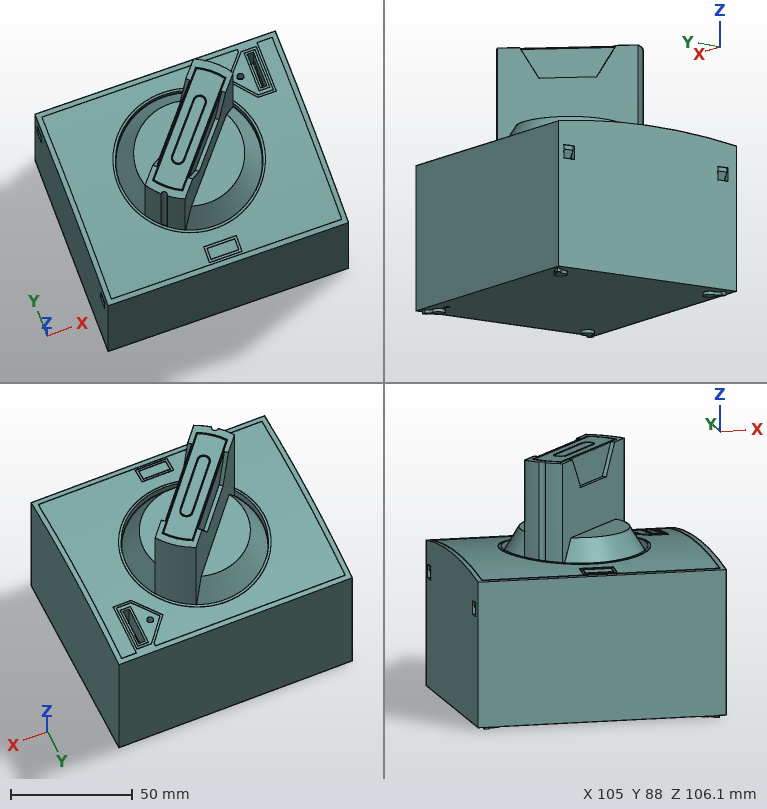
import cadquery as cq
import math

LENGTH_X = 105.0
WIDTH_Y = 88.0
EDGE_HEIGHT = 61.0
CROWN_HEIGHT = 64.4
FOOT_HEIGHT = 1.4
TOTAL_HEIGHT = 106.1
ABOVE_ALL = TOTAL_HEIGHT

RIM_WIDTH = 2.2
PANEL_DEPTH = 0.2

WINDOW_Y = -37.3
WINDOW_FRAME_X = 14.2
WINDOW_FRAME_Y = 6.9
WINDOW_FRAME_WALL = 1.1
WINDOW_FRAME_RISE = 0.3

PAD_TIP_X = 27.7
PAD_SHOULDER_X = 36.2
PAD_RIGHT_X = 42.8
PAD_Y = 29.9
PAD_HALF_WIDTH = 10.3
PAD_BORDER = 1.0
PAD_TAB_LEFT_X = 35.1
PILOT_X = 32.1
PILOT_RADIUS = 1.4
PILOT_DEPTH = 5.3
SLOT_X = 39.5
SLOT_WIDTH = 2.8
SLOT_FRONT_Y = 22.2
SLOT_BACK_Y = 38.2
SLOT_BOTTOM_Z = 53.0
SLOT_FRAME_WALL = 1.0
SLOT_LEDGE = 0.5
SLOT_CHANNEL_DEPTH = 2.1
SLOT_THROUGH_LENGTH = 1.3

LATCH_YS = (38.8, -37.2)
LATCH_WIDTH = 5.1
LATCH_TOP_Z = 51.4
LATCH_BOTTOM_Z = 45.7
LATCH_DEPTH = 2.1
TOOTH_SIDE_GAP = 0.3
TOOTH_SETBACK = 0.4
TOOTH_BEND_Z = 49.5
TOOTH_BOTTOM_Z = 46.3

FOOT_SIZE = 7.5
FOOT_TOE = 1.8
FOOT_RADIUS = 2.8
FEET_CENTRE_X = 0.6
FEET_CENTRE_Y = 0.6
FEET_SPAN_X = 99.3
FEET_SPAN_Y = 83.3

KNOB_Y = 3.1
KNOB_ANGLE = 50.0
KNOB_RADIUS = 30.2
RING_RADIUS = 31.3
KNOB_BOTTOM_Z = 58.4
CONE_BOTTOM_Z = 60.2
CONE_TOP_Z = 72.3
CONE_BOTTOM_RADIUS = 30.0
CONE_TOP_RADIUS = 22.8
KNOB_TOP_Z = TOTAL_HEIGHT - FOOT_HEIGHT
GRIP_WIDTH = 17.4
GROOVE_RADIUS = 1.4
SCOOP_TOP_LENGTH = 39.7
SCOOP_BOTTOM_LENGTH = 23.8
SCOOP_BOTTOM_Z = 91.7
SCOOP_DEPTH = 1.7
INLAY_WIDTH = 13.2
INLAY_RADIUS = 26.7
POINTER_CENTRE_X = -0.3
POINTER_LENGTH = 31.3
POINTER_WIDTH = 5.5
ENGRAVING_WIDTH = 0.4
ENGRAVING_DEPTH = 0.4


def box(x_range, y_range, z_range):
    """Box between two limits along each axis."""
    sizes = [high - low for low, high in (x_range, y_range, z_range)]
    corner = (x_range[0], y_range[0], z_range[0])
    return cq.Workplane("XY").box(*sizes, centered=False).translate(corner)


def below_crown(rise=0.0):
    """Everything over the footprint that lies under the crowned top, moved up by `rise`."""
    half_width = WIDTH_Y / 2
    return (
        cq.Workplane("YZ")
        .moveTo(-half_width, 0)
        .lineTo(half_width, 0)
        .lineTo(half_width, EDGE_HEIGHT + rise)
        .threePointArc((0, CROWN_HEIGHT + rise), (-half_width, EDGE_HEIGHT + rise))
        .close()
        .extrude(LENGTH_X / 2, both=True)
    )


def pad_prism(border):
    """Arrow-shaped prism of the lock pad, grown outward by `border`."""
    slope = PAD_HALF_WIDTH / (PAD_SHOULDER_X - PAD_TIP_X)
    tip_x = PAD_TIP_X - border * math.hypot(1, slope) / slope
    half_width = PAD_HALF_WIDTH + border
    shoulder_x = tip_x + half_width / slope
    right_x = PAD_RIGHT_X + border
    outline = [
        (tip_x, PAD_Y),
        (shoulder_x, PAD_Y - half_width),
        (right_x, PAD_Y - half_width),
        (right_x, PAD_Y + half_width),
        (shoulder_x, PAD_Y + half_width),
    ]
    return cq.Workplane("XY").polyline(outline).close().extrude(ABOVE_ALL)


def slot_prism(margin):
    """Upright prism of the lock slot, grown outward by `margin`."""
    half_width = SLOT_WIDTH / 2 + margin
    return box(
        (SLOT_X - half_width, SLOT_X + half_width),
        (SLOT_FRONT_Y - margin, SLOT_BACK_Y + margin),
        (0, ABOVE_ALL),
    )


def cut_top_panel(housing):
    """Sink the top, leaving the rim, the ring around the knob and the lock pad at full height."""
    panel_x = LENGTH_X / 2 - RIM_WIDTH
    panel_y = WIDTH_Y / 2 - RIM_WIDTH
    tab = box(
        (PAD_TAB_LEFT_X, PAD_RIGHT_X + PAD_BORDER),
        (PAD_Y, WIDTH_Y / 2),
        (0, ABOVE_ALL),
    )
    ring = cq.Workplane("XY").center(0, KNOB_Y).circle(RING_RADIUS).extrude(ABOVE_ALL)
    panel = (
        box((-panel_x, panel_x), (-panel_y, panel_y), (0, ABOVE_ALL))
        .cut(ring)
        .cut(pad_prism(PAD_BORDER))
        .cut(tab)
    )
    pad_floor = pad_prism(0).cut(slot_prism(SLOT_FRAME_WALL))
    sunk = below_crown(-PANEL_DEPTH)
    return housing.cut(panel.cut(sunk)).cut(pad_floor.cut(sunk))


def add_label_window(housing):
    """Raised rectangular frame around the label window."""
    frame = (
        cq.Workplane("XY")
        .center(0, WINDOW_Y)
        .rect(WINDOW_FRAME_X, WINDOW_FRAME_Y)
        .rect(WINDOW_FRAME_X - 2 * WINDOW_FRAME_WALL, WINDOW_FRAME_Y - 2 * WINDOW_FRAME_WALL)
        .extrude(ABOVE_ALL)
        .intersect(below_crown(WINDOW_FRAME_RISE - PANEL_DEPTH))
    )
    return housing.union(frame)


def cut_lock(housing):
    """Lock slot with its floor channel and through opening, and the pilot hole beside it."""
    above_slot_floor = box((0, LENGTH_X / 2), (0, WIDTH_Y / 2), (SLOT_BOTTOM_Z, ABOVE_ALL))
    slot = slot_prism(0).intersect(above_slot_floor)
    through_front_y = SLOT_BACK_Y - SLOT_THROUGH_LENGTH
    half_width = SLOT_WIDTH / 2
    opening = box(
        (SLOT_X - half_width, SLOT_X + half_width),
        (through_front_y, SLOT_BACK_Y),
        (0, SLOT_BOTTOM_Z),
    )
    half_channel = half_width - SLOT_LEDGE
    channel = box(
        (SLOT_X - half_channel, SLOT_X + half_channel),
        (SLOT_FRONT_Y, through_front_y),
        (SLOT_BOTTOM_Z - SLOT_CHANNEL_DEPTH, SLOT_BOTTOM_Z),
    )
    pilot = (
        cq.Workplane("XY", origin=(PILOT_X, PAD_Y, EDGE_HEIGHT - PILOT_DEPTH))
        .circle(PILOT_RADIUS)
        .extrude(ABOVE_ALL)
    )
    return housing.cut(slot).cut(opening).cut(channel).cut(pilot)


def latch_window(centre_y):
    """Hollow of one latch window: a pocket less the wedge-shaped tooth left standing in it."""
    side_x = -LENGTH_X / 2
    back_x = side_x + LATCH_DEPTH
    face_x = side_x + TOOTH_SETBACK
    half_width = LATCH_WIDTH / 2
    pocket = box(
        (side_x, back_x),
        (centre_y - half_width, centre_y + half_width),
        (LATCH_BOTTOM_Z, LATCH_TOP_Z),
    )
    tooth_outline = [
        (back_x, LATCH_TOP_Z),
        (face_x, LATCH_TOP_Z),
        (face_x, TOOTH_BEND_Z),
        (back_x, TOOTH_BOTTOM_Z),
    ]
    tooth = (
        cq.Workplane("XZ", origin=(0, centre_y, 0))
        .polyline(tooth_outline)
        .close()
        .extrude(half_width - TOOTH_SIDE_GAP, both=True)
    )
    return pocket.cut(tooth)


def foot(side_x, side_y):
    """One foot, toe outward, in the corner given by the signs `side_x` and `side_y`."""
    centre = FOOT_SIZE - FOOT_RADIUS
    pull = 2 * (centre - FOOT_TOE + FOOT_RADIUS)
    hollow = (centre**2 + (centre - FOOT_TOE) ** 2 - FOOT_RADIUS**2) / pull
    share = FOOT_RADIUS / (FOOT_RADIUS + hollow)
    hollow_x = FOOT_TOE + hollow
    join_x = centre + (hollow_x - centre) * share
    join_y = centre - centre * share
    half_turn = math.atan2(join_y, hollow_x - join_x) / 2
    middle_x = hollow_x - hollow * math.cos(half_turn)
    middle_y = hollow * math.sin(half_turn)
    far = centre + FOOT_RADIUS * math.sqrt(0.5)
    pad = (
        cq.Workplane("XY")
        .lineTo(FOOT_TOE, 0)
        .threePointArc((middle_x, middle_y), (join_x, join_y))
        .threePointArc((far, far), (join_y, join_x))
        .threePointArc((middle_y, middle_x), (0, FOOT_TOE))
        .close()
        .extrude(-FOOT_HEIGHT)
    )
    if side_x > 0:
        pad = pad.mirror("YZ")
    if side_y > 0:
        pad = pad.mirror("XZ")
    corner_x = FEET_CENTRE_X + side_x * FEET_SPAN_X / 2
    corner_y = FEET_CENTRE_Y + side_y * FEET_SPAN_Y / 2
    return pad.translate((corner_x, corner_y, 0))


def make_housing():
    housing = cut_top_panel(below_crown())
    housing = add_label_window(housing)
    housing = cut_lock(housing)
    knob_seat = (
        cq.Workplane("XY", origin=(0, KNOB_Y, KNOB_BOTTOM_Z))
        .circle(KNOB_RADIUS)
        .extrude(ABOVE_ALL)
    )
    housing = housing.cut(knob_seat)
    for latch_y in LATCH_YS:
        housing = housing.cut(latch_window(latch_y))
    for side_x in (-1, 1):
        for side_y in (-1, 1):
            housing = housing.union(foot(side_x, side_y))
    return housing


def round_ended_bar(width, radius, bottom_z, top_z):
    """Bar along X whose two ends lie on a circle of the given radius around the Z axis."""
    half_width = width / 2
    bar = box((-radius, radius), (-half_width, half_width), (bottom_z, top_z))
    disc = cq.Workplane("XY", origin=(0, 0, bottom_z)).circle(radius).extrude(top_z - bottom_z)
    return bar.intersect(disc)


def grip_scoop():
    """Finger scoop in the +Y face of the grip, tapering downward."""
    outline = [
        (-SCOOP_TOP_LENGTH / 2, KNOB_TOP_Z),
        (SCOOP_TOP_LENGTH / 2, KNOB_TOP_Z),
        (SCOOP_BOTTOM_LENGTH / 2, SCOOP_BOTTOM_Z),
        (-SCOOP_BOTTOM_LENGTH / 2, SCOOP_BOTTOM_Z),
    ]
    face_y = GRIP_WIDTH / 2
    return cq.Workplane("XZ", origin=(0, face_y, 0)).polyline(outline).close().extrude(SCOOP_DEPTH)


def top_engraving():
    """Narrow grooves in the top of the grip: the inlay outline and the pointer outline."""
    bottom_z = KNOB_TOP_Z - ENGRAVING_DEPTH
    inset = 2 * ENGRAVING_WIDTH
    inlay = round_ended_bar(INLAY_WIDTH, INLAY_RADIUS, bottom_z, KNOB_TOP_Z).cut(
        round_ended_bar(INLAY_WIDTH - inset, INLAY_RADIUS - ENGRAVING_WIDTH, bottom_z, KNOB_TOP_Z)
    )
    plane = cq.Workplane("XY", origin=(POINTER_CENTRE_X, 0, bottom_z))
    pointer = plane.slot2D(POINTER_LENGTH, POINTER_WIDTH).extrude(ENGRAVING_DEPTH)
    island = plane.slot2D(POINTER_LENGTH - inset, POINTER_WIDTH - inset).extrude(ENGRAVING_DEPTH)
    return inlay.union(pointer.cut(island))


def make_knob():
    """Knob with its grip along X, then turned and moved into its seat."""
    flange = (
        cq.Workplane("XY", origin=(0, 0, KNOB_BOTTOM_Z))
        .circle(KNOB_RADIUS)
        .extrude(CONE_BOTTOM_Z - KNOB_BOTTOM_Z)
    )
    cone = (
        cq.Workplane("XY", origin=(0, 0, CONE_BOTTOM_Z))
        .circle(CONE_BOTTOM_RADIUS)
        .workplane(offset=CONE_TOP_Z - CONE_BOTTOM_Z)
        .circle(CONE_TOP_RADIUS)
        .loft()
    )
    grip = round_ended_bar(GRIP_WIDTH, KNOB_RADIUS, CONE_BOTTOM_Z, KNOB_TOP_Z)
    pointer_groove = (
        cq.Workplane("XY", origin=(-KNOB_RADIUS, 0, CONE_BOTTOM_Z))
        .circle(GROOVE_RADIUS)
        .extrude(KNOB_TOP_Z - CONE_BOTTOM_Z)
    )
    scoop = grip_scoop()
    knob = (
        flange.union(cone)
        .union(grip)
        .cut(pointer_groove)
        .cut(scoop)
        .cut(scoop.mirror("XZ"))
        .cut(top_engraving())
    )
    return knob.rotate((0, 0, 0), (0, 0, 1), KNOB_ANGLE).translate((0, KNOB_Y, 0))


housing = make_housing()
knob = make_knob()
result = cq.Compound.makeCompound([housing.solids().val(), knob.solids().val()])